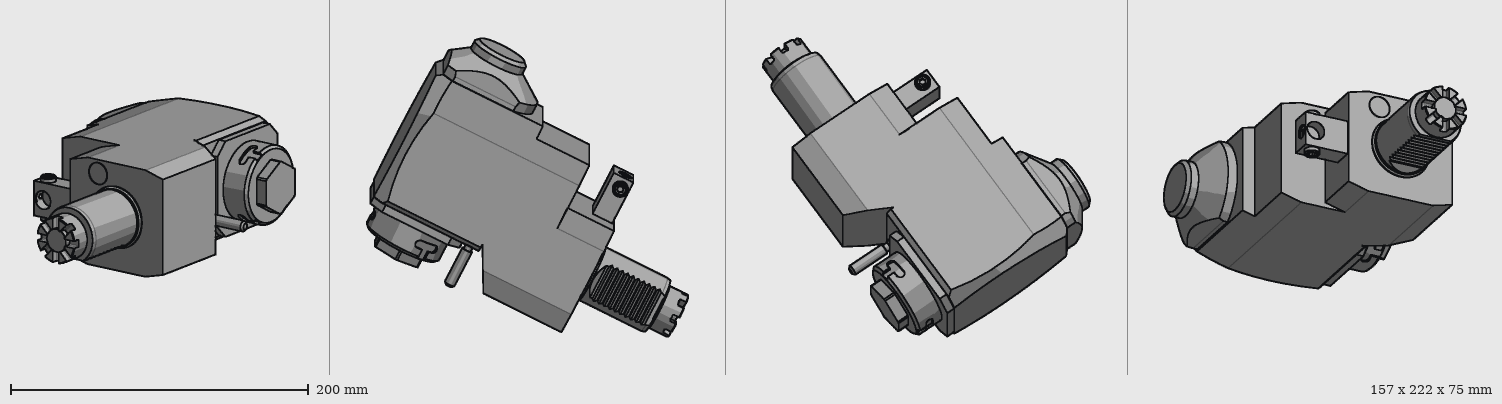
import cadquery as cq
import math


HALF_HEIGHT = 37.5
BEVEL_SLOPE = math.tan(math.radians(15))
BEVEL_RUN = 14.8
LOWER_HALF_WIDTH = 39.0
SHOULDER_LEFT = -71.8
STEP_Y = 35.2
SHOULDER_Y = 75.0
BACK_Y = 154.0
HEAD_LEFT = -81.0
HEAD_RIGHT = 14.4
HEAD_RIGHT_CHAMFER = 3.5
HEAD_BEVEL_START = SHOULDER_LEFT + BEVEL_RUN
BACK_CORNER_X = 3.5
BACK_CORNER_Y = 4.0
WEDGE_START_X = 8.8
WEDGE_ANGLE = 28.0
CROWN_RADIUS = 136.0
CROWN_EDGE_Z = 32.6
PLUG_X = -15.6
PLUG_Z = 27.7
PLUG_RADIUS = 7.6
PLUG_RECESS = 0.4

SPINDLE_Y = 120.0
CAP_RADIUS = 37.5
CAP_RIM = 7.0
CAP_HUB_RADIUS = 19.4
CAP_HUB_BASE_X = -101.1
CAP_END_X = -109.2
CAP_CHAMFER = 2.6
CAP_FLAT_Z = 29.8
CAP_FLAT_LENGTH = 3.5
CAP_CORNER_Y = 6.8
CAP_CORNER_Z = 8.1
CAP_CORNER_START_Z = 23.2

PLATE_END_X = 20.0
PLATE_HALF = 33.6
PLATE_CORNER = 8.8
NUT_RADIUS = 27.4
NUT_END_X = 39.7
NUT_CHAMFER = 2.0
HEX_FLATS = 32.4
HEX_CORNER_RADIUS = 18.3
HEX_END_X = 47.8
WRENCH_COUNT = 3
WRENCH_FIRST_ANGLE = 28.5
WRENCH_LENGTH = 18.6
WRENCH_X = 29.8
WRENCH_WIDTH = 5.6
WRENCH_DEPTH = 1.7
WRENCH_NOTCH_WIDTH = 5.8

PIN_Y = 80.5
PIN_Z = -17.6
PIN_RADIUS = 3.65
PIN_COLLAR_RADIUS = 4.2
PIN_COLLAR_END_X = 16.6
PIN_NECK_RADIUS = 2.7
PIN_BODY_X = 20.3
PIN_TIP_CHAMFER = 1.5

COLLAR_RADIUS = 21.5
COLLAR_LENGTH = 2.0
COLLAR_CHAMFER = 1.3
SHANK_RADIUS = 20.0
RELIEF_RADIUS = 19.8
RELIEF_END_Y = -3.4
SHANK_END_Y = -52.5
SHANK_CHAMFER_LENGTH = 2.8
SHANK_CHAMFER_DEPTH = 0.6
NECK_RADIUS = 13.0
DRIVE_RADIUS = 15.8
DRIVE_START_Y = -53.8
DRIVE_END_Y = -68.0
DRIVE_CHAMFER = 0.5
DRIVE_BORE_RADIUS = 8.0
DRIVE_BORE_DEPTH = 0.9
DRIVE_SLOTS = 8
DRIVE_SLOT_WIDTH = 5.0
DRIVE_SLOT_DEPTH = 5.0
DRIVE_SLOT_FILLET = 0.75
RACK_FLAT_Z = -15.8
RACK_START_Y = -8.0
RACK_FIRST_ROOT_Y = -11.4
RACK_PITCH = 4.0
RACK_TEETH = 10
RACK_DEPTH = 1.3
RACK_HALF_GAP = 1.7

BLOCK_LEFT = -70.5
BLOCK_FRONT_Y = 1.4
BLOCK_BACK_Y = 16.2
BLOCK_HALF_HEIGHT = 12.2
NOZZLE_X = -62.8
NOZZLE_Y = 7.4
NOZZLE_RADIUS = 6.4
NOZZLE_DEPTH = 8.0
SIDE_HOLE_RADIUS = 4.7
SIDE_HOLE_DEPTH = 1.2
SIDE_SOCKET_DIAMETER = 3.6
SCREW_RADIUS = 5.2
SCREW_HEIGHT = 3.5
SCREW_CHAMFER = 0.9
SCREW_DISH_RADIUS = 3.6
SCREW_DISH_DEPTH = 0.6
SOCKET_DIAMETER = 4.6
SOCKET_DEPTH = 2.5

EPS = 0.5


def prism_along_y(points, y_start, y_end):
    """Prism of an XZ outline between two Y positions."""
    sketch = cq.Workplane("XZ", origin=(0, y_start, 0)).polyline(points).close()
    return sketch.extrude(y_start - y_end)


def plan_prism(points):
    """Full-height prism of an XY outline."""
    return cq.Workplane("XY").polyline(points).close().extrude(HALF_HEIGHT * 2, both=True)


def cylinder_along_x(radius, x_start, x_end, y=SPINDLE_Y, z=0.0):
    plane = cq.Workplane("YZ", origin=(x_start, y, z))
    return plane.circle(radius).extrude(x_end - x_start)


def bevelled_outline(left, right, bevel_start, right_run, right_drop):
    """XZ outline, symmetric about z = 0, with a sloped left side and right side."""
    left_z = HALF_HEIGHT - (bevel_start - left) * BEVEL_SLOPE
    right_z = HALF_HEIGHT - right_drop
    upper = [(left, left_z), (bevel_start, HALF_HEIGHT), (right - right_run, HALF_HEIGHT), (right, right_z)]
    lower = [(x, -z) for x, z in reversed(upper)]
    return upper + lower


def make_housing():
    bevel_drop = BEVEL_RUN * BEVEL_SLOPE
    lower_outline = bevelled_outline(
        -LOWER_HALF_WIDTH, LOWER_HALF_WIDTH, BEVEL_RUN - LOWER_HALF_WIDTH, BEVEL_RUN, bevel_drop
    )
    shoulder_outline = bevelled_outline(
        SHOULDER_LEFT, LOWER_HALF_WIDTH, HEAD_BEVEL_START, BEVEL_RUN, bevel_drop
    )
    head_outline = bevelled_outline(
        HEAD_LEFT, HEAD_RIGHT, HEAD_BEVEL_START, HEAD_RIGHT_CHAMFER, HEAD_RIGHT_CHAMFER
    )
    wedge_drop = (LOWER_HALF_WIDTH - WEDGE_START_X) * math.tan(math.radians(WEDGE_ANGLE))
    wedge = plan_prism([
        (WEDGE_START_X, SHOULDER_Y),
        (LOWER_HALF_WIDTH, SHOULDER_Y - wedge_drop),
        (LOWER_HALF_WIDTH, SHOULDER_Y),
    ])
    back_corner = plan_prism([
        (HEAD_LEFT, BACK_Y),
        (HEAD_LEFT, BACK_Y - BACK_CORNER_Y),
        (HEAD_LEFT + BACK_CORNER_X, BACK_Y),
    ])
    base = prism_along_y(lower_outline, 0, STEP_Y)
    base = base.union(prism_along_y(shoulder_outline, STEP_Y, SHOULDER_Y)).cut(wedge)
    head = prism_along_y(head_outline, SHOULDER_Y, BACK_Y).cut(back_corner)
    plug_plane = cq.Workplane("XZ", origin=(PLUG_X, 0, PLUG_Z))
    plug = plug_plane.circle(PLUG_RADIUS).extrude(-PLUG_RECESS)
    return base.union(head).cut(plug)


def make_cap():
    """Turned conical cap, with flats at the back, top and bottom."""
    rim_x = HEAD_LEFT - CAP_RIM
    profile = [
        (HEAD_LEFT, 0),
        (HEAD_LEFT, CAP_RADIUS),
        (rim_x, CAP_RADIUS),
        (CAP_HUB_BASE_X, CAP_HUB_RADIUS),
        (CAP_END_X + CAP_CHAMFER, CAP_HUB_RADIUS),
        (CAP_END_X, CAP_HUB_RADIUS - CAP_CHAMFER),
        (CAP_END_X, 0),
    ]
    plane = cq.Workplane("XY", origin=(0, SPINDLE_Y, 0))
    turned = plane.polyline(profile).close().revolve(360, (0, 0, 0), (1, 0, 0))

    flat_end_x = HEAD_LEFT - CAP_FLAT_LENGTH
    end_z = CAP_FLAT_Z - (flat_end_x - CAP_END_X) * BEVEL_SLOPE
    upper = [(CAP_END_X, end_z), (flat_end_x, CAP_FLAT_Z), (HEAD_LEFT, CAP_FLAT_Z)]
    lower = [(x, -z) for x, z in reversed(upper)]
    envelope = prism_along_y(upper + lower, SPINDLE_Y - CAP_RADIUS - EPS, BACK_Y - BACK_CORNER_Y)
    cap = turned.intersect(envelope)

    back_y = BACK_Y - BACK_CORNER_Y
    outer_z = CAP_CORNER_START_Z + CAP_CORNER_Z
    corner_outline = [(back_y, CAP_CORNER_START_Z), (back_y, outer_z), (back_y - CAP_CORNER_Y, outer_z)]
    corner_plane = cq.Workplane("YZ", origin=(CAP_END_X, 0, 0))
    corner = corner_plane.polyline(corner_outline).close().extrude(HEAD_LEFT - CAP_END_X)
    return cap.cut(corner).cut(corner.mirror("XY"))


def crown(body):
    """Trim the upper and lower back edges with 45 degree cones whose axes are parallel to Y."""
    center_x = (HEAD_BEVEL_START + HEAD_RIGHT - HEAD_RIGHT_CHAMFER) / 2
    for side in (1, -1):
        center_z = side * (CROWN_EDGE_Z - CROWN_RADIUS)
        cone = cq.Solid.makeCone(
            CROWN_RADIUS,
            CROWN_RADIUS + BACK_Y + EPS,
            BACK_Y + EPS,
            cq.Vector(center_x, BACK_Y, center_z),
            cq.Vector(0, -1, 0),
        )
        body = body.intersect(cq.Workplane(obj=cone))
    return body


def make_plate():
    plane = cq.Workplane("YZ", origin=(HEAD_RIGHT - EPS, SPINDLE_Y, 0))
    square = plane.rect(2 * PLATE_HALF, 2 * PLATE_HALF).extrude(PLATE_END_X - HEAD_RIGHT + EPS)
    return square.edges("|X").chamfer(PLATE_CORNER)


def wrench_pocket():
    """Round-ended pocket in the nut rim, centred at the top, with a notch out to the nut face."""
    outer = NUT_RADIUS + EPS
    slot_plane = cq.Workplane("XY", origin=(WRENCH_X, SPINDLE_Y, 0))
    slot = slot_plane.slot2D(WRENCH_LENGTH, WRENCH_WIDTH, 90).extrude(outer)
    notch_length = NUT_END_X + EPS - WRENCH_X
    notch_plane = cq.Workplane("XY", origin=(WRENCH_X + notch_length / 2, SPINDLE_Y, 0))
    notch = notch_plane.rect(notch_length, WRENCH_NOTCH_WIDTH).extrude(outer)
    core = cylinder_along_x(NUT_RADIUS - WRENCH_DEPTH, PLATE_END_X, NUT_END_X + 2 * EPS)
    return slot.union(notch).cut(core)


def make_nut():
    nut = cylinder_along_x(NUT_RADIUS, PLATE_END_X - EPS, NUT_END_X)
    nut = nut.faces(">X").edges().chamfer(NUT_CHAMFER)
    pocket = wrench_pocket()
    for index in range(WRENCH_COUNT):
        angle = WRENCH_FIRST_ANGLE + index * 360 / WRENCH_COUNT
        nut = nut.cut(pocket.rotate((0, SPINDLE_Y, 0), (1, SPINDLE_Y, 0), angle))
    hex_plane = cq.Workplane("YZ", origin=(NUT_END_X - EPS, SPINDLE_Y, 0))
    hexagon = hex_plane.polygon(6, HEX_FLATS / math.cos(math.pi / 6)).extrude(HEX_END_X - NUT_END_X + EPS)
    hexagon = hexagon.rotate((0, SPINDLE_Y, 0), (1, SPINDLE_Y, 0), 90)
    hexagon = hexagon.intersect(cylinder_along_x(HEX_CORNER_RADIUS, NUT_END_X - EPS, HEX_END_X))
    return nut.union(hexagon)


def make_pin():
    collar = cylinder_along_x(PIN_COLLAR_RADIUS, HEAD_RIGHT - EPS, PIN_COLLAR_END_X, PIN_Y, PIN_Z)
    collar = collar.faces(">X").edges().chamfer(PIN_COLLAR_RADIUS - PIN_NECK_RADIUS)
    neck = cylinder_along_x(PIN_NECK_RADIUS, HEAD_RIGHT, PIN_BODY_X + EPS, PIN_Y, PIN_Z)
    rod = cylinder_along_x(PIN_RADIUS, PIN_BODY_X, HEX_END_X, PIN_Y, PIN_Z)
    rod = rod.faces(">X").edges().chamfer(PIN_TIP_CHAMFER)
    return collar.union(neck).union(rod)


def make_shank():
    profile = [
        (0, EPS),
        (COLLAR_RADIUS, EPS),
        (COLLAR_RADIUS, COLLAR_CHAMFER - COLLAR_LENGTH),
        (COLLAR_RADIUS - COLLAR_CHAMFER, -COLLAR_LENGTH),
        (RELIEF_RADIUS, -COLLAR_LENGTH),
        (RELIEF_RADIUS, RELIEF_END_Y),
        (SHANK_RADIUS, RELIEF_END_Y),
        (SHANK_RADIUS, SHANK_END_Y + SHANK_CHAMFER_LENGTH),
        (SHANK_RADIUS - SHANK_CHAMFER_DEPTH, SHANK_END_Y),
        (NECK_RADIUS, SHANK_END_Y),
        (NECK_RADIUS, DRIVE_START_Y),
        (DRIVE_RADIUS, DRIVE_START_Y),
        (DRIVE_RADIUS, DRIVE_END_Y + DRIVE_CHAMFER),
        (DRIVE_RADIUS - DRIVE_CHAMFER, DRIVE_END_Y),
        (DRIVE_BORE_RADIUS, DRIVE_END_Y),
        (DRIVE_BORE_RADIUS, DRIVE_END_Y + DRIVE_BORE_DEPTH),
        (0, DRIVE_END_Y + DRIVE_BORE_DEPTH),
    ]
    shank = cq.Workplane("XY").polyline(profile).close().revolve(360, (0, 0, 0), (0, 1, 0))
    return cut_rack(cut_drive_slots(shank))


def cut_drive_slots(shank):
    """Radial slots in the drive end, stopping at the central core."""
    slot_length = DRIVE_RADIUS + EPS
    plane = cq.Workplane("XZ", origin=(slot_length / 2, DRIVE_END_Y, 0))
    slot = plane.rect(slot_length, DRIVE_SLOT_WIDTH).extrude(-DRIVE_SLOT_DEPTH)
    slot = slot.faces(">Y").edges("|X").fillet(DRIVE_SLOT_FILLET)
    core_plane = cq.Workplane("XZ", origin=(0, DRIVE_END_Y, 0))
    slot = slot.cut(core_plane.circle(DRIVE_BORE_RADIUS).extrude(-DRIVE_SLOT_DEPTH))
    for index in range(DRIVE_SLOTS):
        shank = shank.cut(slot.rotate((0, 0, 0), (0, 1, 0), index * 360 / DRIVE_SLOTS))
    return shank


def cut_rack(shank):
    """Flat with V grooves across the underside of the shank, entered by a 45 degree ramp."""
    below = -SHANK_RADIUS - EPS
    ramp_y = RACK_START_Y + RACK_FLAT_Z - below
    flat = [
        (RACK_START_Y, RACK_FLAT_Z),
        (SHANK_END_Y, RACK_FLAT_Z),
        (SHANK_END_Y, below),
        (ramp_y, below),
    ]
    side = cq.Workplane("YZ")
    shank = shank.cut(side.polyline(flat).close().extrude(SHANK_RADIUS, both=True))
    for index in range(RACK_TEETH):
        root_y = RACK_FIRST_ROOT_Y - index * RACK_PITCH
        groove = [
            (root_y - RACK_HALF_GAP, RACK_FLAT_Z),
            (root_y, RACK_FLAT_Z + RACK_DEPTH),
            (root_y + RACK_HALF_GAP, RACK_FLAT_Z),
        ]
        shank = shank.cut(side.polyline(groove).close().extrude(SHANK_RADIUS, both=True))
    return shank


def make_screw():
    """Adjusting screw head standing on the top face of the coolant block."""
    top_z = BLOCK_HALF_HEIGHT + SCREW_HEIGHT
    base = cq.Workplane("XY", origin=(NOZZLE_X, NOZZLE_Y, BLOCK_HALF_HEIGHT - EPS))
    head = base.circle(SCREW_RADIUS).extrude(SCREW_HEIGHT + EPS)
    head = head.faces(">Z").edges().chamfer(SCREW_CHAMFER)
    top = cq.Workplane("XY", origin=(NOZZLE_X, NOZZLE_Y, top_z))
    head = head.cut(top.circle(SCREW_DISH_RADIUS).extrude(-SCREW_DISH_DEPTH))
    return head.cut(top.polygon(6, SOCKET_DIAMETER).extrude(-SOCKET_DEPTH))


def make_coolant_block():
    block = cq.Workplane("XY").box(
        EPS - LOWER_HALF_WIDTH - BLOCK_LEFT,
        BLOCK_BACK_Y - BLOCK_FRONT_Y,
        2 * BLOCK_HALF_HEIGHT,
        centered=(False, False, True),
    )
    block = block.translate((BLOCK_LEFT, BLOCK_FRONT_Y, 0))
    screw = make_screw()
    block = block.union(screw).union(screw.mirror("XY"))
    front = cq.Workplane("XZ", origin=(NOZZLE_X, BLOCK_FRONT_Y, 0))
    block = block.cut(front.circle(NOZZLE_RADIUS).extrude(-NOZZLE_DEPTH))
    hole_end = BLOCK_LEFT + SIDE_HOLE_DEPTH
    block = block.cut(cylinder_along_x(SIDE_HOLE_RADIUS, BLOCK_LEFT, hole_end, NOZZLE_Y))
    socket = cq.Workplane("YZ", origin=(hole_end, NOZZLE_Y, 0)).polygon(6, SIDE_SOCKET_DIAMETER)
    return block.cut(socket.extrude(SOCKET_DEPTH))


housing = crown(make_housing()).union(make_cap())
result = housing.union(make_plate()).union(make_nut()).union(make_pin())
result = result.union(make_shank()).union(make_coolant_block())